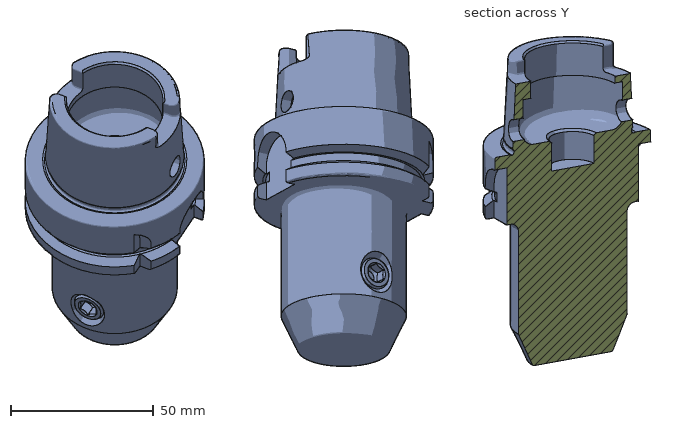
import cadquery as cq
import math

TOTAL_HEIGHT = 112.0
FLANGE_FACE_Z = 80.0
FLANGE_BOTTOM_Z = 54.0

BODY_DIAMETER = 44.0
BODY_RADIUS = BODY_DIAMETER / 2
NOSE_CONE_TOP_Z = 12.9
NOSE_CONE_ANGLE = 24.7
NOSE_EDGE_FILLET = 1.0
BODY_FILLET = 3.0

FLANGE_RADIUS = 31.5
FLANGE_EDGE_FILLET = 0.9
GROOVE_RADIUS = 27.4
GROOVE_LEDGE_RADIUS = 28.5
GROOVE_BOTTOM_Z = 60.5
GROOVE_TOP_Z = 63.7
GROOVE_FLANK_ANGLE = 30.0

TAPER_BASE_RADIUS = 24.3
TAPER_BASE_Z = 82.0
TAPER_RATE = 0.05
RELIEF_ROOT_RADIUS = 23.9
RELIEF_CHAMFER = 0.7
RELIEF_FILLET = 0.8
RELIEF_FACE_RADIUS = 25.3
RELIEF_DEPTH = 0.3
SHANK_TOP_FILLET = 0.9

BORE_RADIUS = 16.9
BORE_CHAMFER = 0.7
LIP_BOTTOM_Z = 99.3
RECESS_RADIUS = 19.9
RECESS_FLOOR_FILLET = 4.1
RECESS_FLOOR_Z = 82.3
FLOOR_HOLE_RADIUS = 8.4
FLOOR_HOLE_CHAMFER = 0.9
FLOOR_HOLE_DEPTH = 11.2

SLOT_HALF_WIDTH = 6.3
SLOT_FLARE_RADIUS = 2.5
SLOT_FLAT_X = 21.0
SLOT_FLOOR_FILLET = 1.3
LEFT_SLOT_FLOOR_Z = 102.0
RIGHT_SLOT_FLOOR_Z = 105.8

CROSS_HOLE_RADIUS = 3.9
CROSS_HOLE_Z = 88.6

KEYWAY_RADIUS = 9.1
KEYWAY_FLOOR = 26.5
KEYWAY_TOP_Z = 75.2
NOTCH_RADIUS = 8.0
NOTCH_FLOOR_X = 19.9
NOTCH_WALL_Y = -19.9
NOTCH_CENTRE_Z = 67.8
CHIP_FLAT_DISTANCE = 29.8
CHIP_FLAT_BOTTOM_Z = 70.2
CHIP_FLAT_HEIGHT = 5.8
CHIP_FLAT_ANGLE = 135.0

SCREW_Z = 22.5
SCREW_SINK_RADIUS = 7.6
SCREW_HOLE_RADIUS = 5.7
SCREW_FACE_DEPTH = 0.9
SCREW_CHAMFER = 0.6
SOCKET_ACROSS_FLATS = 6.0
SOCKET_MOUTH_RADIUS = 3.7
SOCKET_DEPTH = 3.9
SOCKET_TIP_RADIUS = 2.2

CLEARANCE = 5.6


def make_body():
    """Solid of revolution: nose, body, grooved flange and taper shank."""
    nose_radius = BODY_RADIUS - NOSE_CONE_TOP_Z * math.tan(math.radians(NOSE_CONE_ANGLE))
    flank_height = (FLANGE_RADIUS - GROOVE_LEDGE_RADIUS) * math.tan(math.radians(GROOVE_FLANK_ANGLE))
    shank_top_radius = TAPER_BASE_RADIUS - TAPER_RATE * (TOTAL_HEIGHT - TAPER_BASE_Z)
    relief_bottom_z = FLANGE_FACE_Z - RELIEF_DEPTH
    edge_mid = FLANGE_EDGE_FILLET * (1 - math.sqrt(0.5))
    fillet_mid = BODY_FILLET * (1 - math.sqrt(0.5))
    relief_mid = RELIEF_FILLET * (1 - math.sqrt(0.5))
    profile = (
        cq.Workplane("XZ")
        .lineTo(nose_radius, 0)
        .lineTo(BODY_RADIUS, NOSE_CONE_TOP_Z)
        .lineTo(BODY_RADIUS, FLANGE_BOTTOM_Z - BODY_FILLET)
        .threePointArc(
            (BODY_RADIUS + fillet_mid, FLANGE_BOTTOM_Z - fillet_mid),
            (BODY_RADIUS + BODY_FILLET, FLANGE_BOTTOM_Z),
        )
        .lineTo(FLANGE_RADIUS - FLANGE_EDGE_FILLET, FLANGE_BOTTOM_Z)
        .threePointArc(
            (FLANGE_RADIUS - edge_mid, FLANGE_BOTTOM_Z + edge_mid),
            (FLANGE_RADIUS, FLANGE_BOTTOM_Z + FLANGE_EDGE_FILLET),
        )
        .lineTo(FLANGE_RADIUS, GROOVE_BOTTOM_Z - flank_height)
        .lineTo(GROOVE_LEDGE_RADIUS, GROOVE_BOTTOM_Z)
        .lineTo(GROOVE_RADIUS, GROOVE_BOTTOM_Z)
        .lineTo(GROOVE_RADIUS, GROOVE_TOP_Z)
        .lineTo(GROOVE_LEDGE_RADIUS, GROOVE_TOP_Z)
        .lineTo(FLANGE_RADIUS, GROOVE_TOP_Z + flank_height)
        .lineTo(FLANGE_RADIUS, FLANGE_FACE_Z - FLANGE_EDGE_FILLET)
        .threePointArc(
            (FLANGE_RADIUS - edge_mid, FLANGE_FACE_Z - edge_mid),
            (FLANGE_RADIUS - FLANGE_EDGE_FILLET, FLANGE_FACE_Z),
        )
        .lineTo(RELIEF_FACE_RADIUS, FLANGE_FACE_Z)
        .lineTo(RELIEF_ROOT_RADIUS + RELIEF_FILLET, relief_bottom_z)
        .threePointArc(
            (RELIEF_ROOT_RADIUS + relief_mid, relief_bottom_z + relief_mid),
            (RELIEF_ROOT_RADIUS, relief_bottom_z + RELIEF_FILLET),
        )
        .lineTo(RELIEF_ROOT_RADIUS, TAPER_BASE_Z - RELIEF_CHAMFER)
        .lineTo(TAPER_BASE_RADIUS, TAPER_BASE_Z)
        .lineTo(shank_top_radius, TOTAL_HEIGHT)
        .lineTo(0, TOTAL_HEIGHT)
        .close()
    )
    body = profile.revolve(360, (0, 0), (0, 1))
    return body.faces("<Z").edges().fillet(NOSE_EDGE_FILLET)


def make_bore():
    """Stepped bore of the shank, opening upward."""
    hole_bottom_z = RECESS_FLOOR_Z - FLOOR_HOLE_DEPTH
    floor_mid = RECESS_FLOOR_FILLET * (1 - math.sqrt(0.5))
    return (
        cq.Workplane("XZ", origin=(0, 0, hole_bottom_z))
        .lineTo(FLOOR_HOLE_RADIUS, 0)
        .lineTo(FLOOR_HOLE_RADIUS, FLOOR_HOLE_DEPTH - FLOOR_HOLE_CHAMFER)
        .lineTo(FLOOR_HOLE_RADIUS + FLOOR_HOLE_CHAMFER, FLOOR_HOLE_DEPTH)
        .lineTo(RECESS_RADIUS - RECESS_FLOOR_FILLET, FLOOR_HOLE_DEPTH)
        .threePointArc(
            (RECESS_RADIUS - floor_mid, FLOOR_HOLE_DEPTH + floor_mid),
            (RECESS_RADIUS, FLOOR_HOLE_DEPTH + RECESS_FLOOR_FILLET),
        )
        .lineTo(RECESS_RADIUS, LIP_BOTTOM_Z - hole_bottom_z)
        .lineTo(BORE_RADIUS, LIP_BOTTOM_Z - hole_bottom_z)
        .lineTo(BORE_RADIUS, TOTAL_HEIGHT - BORE_CHAMFER - hole_bottom_z)
        .lineTo(BORE_RADIUS + BORE_CHAMFER, TOTAL_HEIGHT - hole_bottom_z)
        .lineTo(0, TOTAL_HEIGHT - hole_bottom_z)
        .close()
        .revolve(360, (0, 0), (0, 1))
    )


def make_drive_slot(side, floor_z):
    """Slot on one X side whose walls flare out into a flat across the shank."""
    outer_x = TAPER_BASE_RADIUS + CLEARANCE
    flare_y = SLOT_HALF_WIDTH + SLOT_FLARE_RADIUS
    flare_x = SLOT_FLAT_X - SLOT_FLARE_RADIUS
    arc_x = flare_x + SLOT_FLARE_RADIUS * math.sqrt(0.5)
    arc_y = flare_y - SLOT_FLARE_RADIUS * math.sqrt(0.5)
    cutter = (
        cq.Workplane("XY", origin=(0, 0, floor_z))
        .moveTo(0, -SLOT_HALF_WIDTH)
        .lineTo(side * flare_x, -SLOT_HALF_WIDTH)
        .threePointArc((side * arc_x, -arc_y), (side * SLOT_FLAT_X, -flare_y))
        .lineTo(side * SLOT_FLAT_X, -TAPER_BASE_RADIUS)
        .lineTo(side * outer_x, -TAPER_BASE_RADIUS)
        .lineTo(side * outer_x, TAPER_BASE_RADIUS)
        .lineTo(side * SLOT_FLAT_X, TAPER_BASE_RADIUS)
        .lineTo(side * SLOT_FLAT_X, flare_y)
        .threePointArc((side * arc_x, arc_y), (side * flare_x, SLOT_HALF_WIDTH))
        .lineTo(0, SLOT_HALF_WIDTH)
        .close()
        .extrude(TOTAL_HEIGHT + CLEARANCE - floor_z)
    )
    return cutter.faces("<Z").edges().fillet(SLOT_FLOOR_FILLET)


def make_round_top_cutter(side, floor_x, centre_y, centre_z, radius):
    """Cutter outside a floor plane, open downward, with a half-round top end."""
    bottom_z = FLANGE_BOTTOM_Z
    return (
        cq.Workplane("YZ", origin=(side * floor_x, 0, 0))
        .moveTo(centre_y - radius, bottom_z)
        .lineTo(centre_y - radius, centre_z)
        .threePointArc((centre_y, centre_z + radius), (centre_y + radius, centre_z))
        .lineTo(centre_y + radius, bottom_z)
        .close()
        .extrude(side * (FLANGE_RADIUS + CLEARANCE - floor_x))
    )


def make_chip_flat():
    """Flat cut across the flange rim, halfway between -X and +Y."""
    return (
        cq.Workplane("XY", origin=(0, 0, CHIP_FLAT_BOTTOM_Z))
        .box(CLEARANCE, FLANGE_RADIUS, CHIP_FLAT_HEIGHT, centered=(False, True, False))
        .translate((CHIP_FLAT_DISTANCE, 0, 0))
        .rotate((0, 0, 0), (0, 0, 1), CHIP_FLAT_ANGLE)
    )


def make_screw_pocket():
    """Countersunk hole on the -Y side down to the screw head, with its hex socket."""
    sink_depth = SCREW_SINK_RADIUS - SCREW_HOLE_RADIUS
    socket_corner_diameter = SOCKET_ACROSS_FLATS / math.cos(math.radians(30))
    mouth_depth = SOCKET_MOUTH_RADIUS - SOCKET_ACROSS_FLATS / 2
    tip_depth = SOCKET_DEPTH + socket_corner_diameter / 2 - SOCKET_TIP_RADIUS
    sink = (
        cq.Workplane("XZ")
        .moveTo(0, -SCREW_FACE_DEPTH)
        .lineTo(SCREW_HOLE_RADIUS - SCREW_CHAMFER, -SCREW_FACE_DEPTH)
        .lineTo(SCREW_HOLE_RADIUS, -sink_depth)
        .lineTo(SCREW_SINK_RADIUS + CLEARANCE, CLEARANCE)
        .lineTo(0, CLEARANCE)
        .close()
        .revolve(360, (0, 0), (0, 1))
    )
    hexagon = (
        cq.Workplane("XY", origin=(0, 0, -SCREW_FACE_DEPTH))
        .polygon(6, socket_corner_diameter)
        .extrude(-tip_depth)
        .rotate((0, 0, 0), (0, 0, 1), 90)
    )
    envelope = (
        cq.Workplane("XZ", origin=(0, 0, -SCREW_FACE_DEPTH))
        .lineTo(socket_corner_diameter / 2, 0)
        .lineTo(socket_corner_diameter / 2, -SOCKET_DEPTH)
        .lineTo(SOCKET_TIP_RADIUS, -tip_depth)
        .lineTo(0, -tip_depth)
        .close()
        .revolve(360, (0, 0), (0, 1))
    )
    mouth = (
        cq.Workplane("XZ", origin=(0, 0, -SCREW_FACE_DEPTH))
        .lineTo(SOCKET_MOUTH_RADIUS, 0)
        .lineTo(SOCKET_ACROSS_FLATS / 2, -mouth_depth)
        .lineTo(0, -mouth_depth)
        .close()
        .revolve(360, (0, 0), (0, 1))
    )
    pocket = sink.union(hexagon.intersect(envelope)).union(mouth)
    return pocket.rotate((0, 0, 0), (1, 0, 0), 90).translate((0, -BODY_RADIUS, SCREW_Z))


part = make_body()
part = part.cut(make_drive_slot(-1, LEFT_SLOT_FLOOR_Z))
part = part.cut(make_drive_slot(1, RIGHT_SLOT_FLOOR_Z))
part = part.faces(">Z").edges().fillet(SHANK_TOP_FILLET)
part = part.cut(make_bore())
cross_hole = (
    cq.Workplane("YZ")
    .center(0, CROSS_HOLE_Z)
    .circle(CROSS_HOLE_RADIUS)
    .extrude(TAPER_BASE_RADIUS + CLEARANCE, both=True)
)
part = part.cut(cross_hole)

for side in (-1, 1):
    part = part.cut(
        make_round_top_cutter(side, KEYWAY_FLOOR, 0, KEYWAY_TOP_Z - KEYWAY_RADIUS, KEYWAY_RADIUS)
    )
part = part.cut(
    make_round_top_cutter(1, NOTCH_FLOOR_X, NOTCH_WALL_Y - NOTCH_RADIUS, NOTCH_CENTRE_Z, NOTCH_RADIUS)
)
part = part.cut(make_chip_flat())

part = part.cut(make_screw_pocket())

result = part